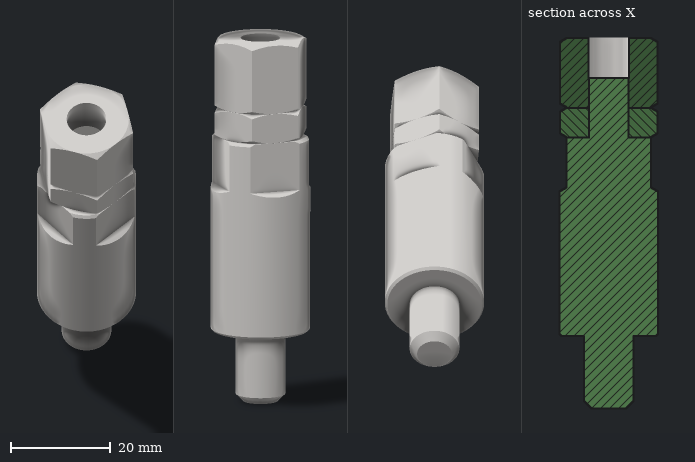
import cadquery as cq
import math

stud_length = 14.5
barrel_length = 40.0
nut_height = 6.0
cap_height = 14.0
barrel_bottom = stud_length
barrel_top = barrel_bottom + barrel_length
nut_top = barrel_top + nut_height

stud_diameter = 10.0
stud_tip_chamfer = 1.5
barrel_diameter = 20.0
barrel_chamfer = 0.5
flat_length = 10.0
flat_runout_angle = 30.0

wrench_size = 17.0
hex_half_angle = 30.0
hex_corner_radius = wrench_size / 2 / math.cos(math.radians(hex_half_angle))
hex_chamfer_angle = 30.0

upper_stud_diameter = 8.0
cap_engagement = 6.0


def cylinder(diameter, bottom, height):
    return cq.Workplane("XY").workplane(offset=bottom).circle(diameter / 2).extrude(height)


def flat_cutter():
    """Cutter for the +X flat, whose lower end runs out on a slope to the barrel surface."""
    flat_x = wrench_size / 2
    outer_x = barrel_diameter
    flat_bottom = barrel_top - flat_length
    runout_drop = (outer_x - flat_x) * math.tan(math.radians(flat_runout_angle))
    profile = [
        (flat_x, barrel_top),
        (flat_x, flat_bottom),
        (outer_x, flat_bottom - runout_drop),
        (outer_x, barrel_top),
    ]
    return cq.Workplane("XZ").polyline(profile).close().extrude(barrel_diameter / 2, both=True)


def make_housing():
    barrel = cylinder(barrel_diameter, barrel_bottom, barrel_length)
    barrel = barrel.faces("<Z or >Z").chamfer(barrel_chamfer)
    for angle in (0, 90, 180, 270):
        barrel = barrel.cut(flat_cutter().rotate((0, 0, 0), (0, 0, 1), angle))
    lower_stud = cylinder(stud_diameter, 0, stud_length).faces("<Z").chamfer(stud_tip_chamfer)
    upper_stud = cylinder(upper_stud_diameter, barrel_top, nut_height + cap_engagement)
    return barrel.union(lower_stud).union(upper_stud)


def hex_ring(bottom, height):
    """Hexagon with corners on Y, a through bore, and cone-chamfered corners at both ends."""
    top = bottom + height
    end_radius = wrench_size / 2
    chamfer_drop = (hex_corner_radius - end_radius) * math.tan(math.radians(hex_chamfer_angle))
    prism = (
        cq.Workplane("XY")
        .workplane(offset=bottom)
        .polygon(6, 2 * hex_corner_radius)
        .extrude(height)
        .rotate((0, 0, 0), (0, 0, 1), hex_half_angle)
    )
    envelope_profile = [
        (0, bottom),
        (end_radius, bottom),
        (hex_corner_radius, bottom + chamfer_drop),
        (hex_corner_radius, top - chamfer_drop),
        (end_radius, top),
        (0, top),
    ]
    envelope = cq.Workplane("XZ").polyline(envelope_profile).close().revolve(360, (0, 0), (0, 1))
    return prism.intersect(envelope).cut(cylinder(upper_stud_diameter, bottom, height))


housing = make_housing()
lock_nut = hex_ring(barrel_top, nut_height)
cap = hex_ring(nut_top, cap_height)

result = cq.Compound.makeCompound([housing.solids().val(), lock_nut.solids().val(), cap.solids().val()])